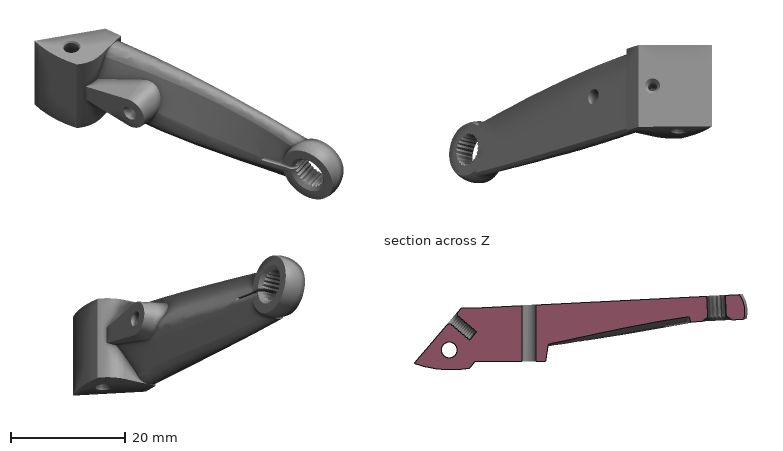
import cadquery as cq
import math

BLOCK_HEIGHT = 14.9
BLOCK_RIGHT = 11.7
BLOCK_BACK = 10.99
TIP = (0.0, 1.15)
SLANT_END = (8.4, BLOCK_BACK)
FRONT_ARC_MID = (5.2, 0.05)
FRONT_CORNER = (9.7, 0.25)
CORNER_ARC_MID = (11.15, 2.15)
CORNER_ARC_END = (BLOCK_RIGHT, 4.4)

PIN_X = 6.24
PIN_Y = 3.54
PIN_DIAMETER = 2.7
PIN_RIM_DIAMETER = 3.2

SCREW_ALONG_SLANT = 10.45
SCREW_MINOR_DIAMETER = 1.62
SCREW_MAJOR_DIAMETER = 2.0
SCREW_RIM_DIAMETER = 2.7
THREAD_PITCH = 0.4
THREAD_TURNS = 11

LEAN = 2.9
BACK_SLOPE = math.tan(math.radians(LEAN))
BOTTOM_BACK_RISE = 0.35

ARM_SECTIONS = [
    {
        "x": 10.5, "top": 14.8, "back_drop": 1.3, "bottom": 0.05,
        "upper_edge": (5.9, 13.5), "lower_edge": (7.0, 1.7),
        "ridge_y": 2.5, "ridge_top": 9.3, "ridge_bottom": 5.8, "ridge_depth": 0.8,
    },
    {
        "x": 24.0, "top": 13.5, "back_drop": 0.65, "bottom": -0.08,
        "upper_edge": (8.1, 12.6), "lower_edge": (7.5, 0.7),
        "ridge_y": 4.2, "ridge_top": 7.5, "ridge_bottom": 4.0, "ridge_depth": 0.55,
    },
    {
        "x": 37.0, "top": 11.7, "back_drop": 0.5, "bottom": -0.2,
        "upper_edge": (9.5, 10.9), "lower_edge": (9.0, 0.4),
        "ridge_y": 6.2, "ridge_top": 5.85, "ridge_bottom": 3.5, "ridge_depth": 0.35,
    },
    {
        "x": 51.0, "top": 9.3, "back_drop": 0.65, "bottom": -0.1,
        "upper_edge": (9.85, 8.15), "lower_edge": (10.5, 0.8),
        "ridge_y": 8.7, "ridge_top": 4.75, "ridge_bottom": 3.6, "ridge_depth": 0.15,
    },
]

RING_X = 53.26
RING_Z = 4.96
RING_WIDTH = 4.45
RING_FRONT_RADIUS = 5.2
RING_RADIUS = 5.43
RING_BACK_RADIUS = 4.7
SPLINE_COUNT = 24
SPLINE_TIP_RADIUS = 2.7
SPLINE_ROOT_RADIUS = 2.95
BORE_RIM_RADIUS = 3.47

SLOT_START_X = 44.1
SLOT_WIDTH = 0.55
SLOT_WEB = 1.0

BOSS_X = 20.27
BOSS_Y = 1.46
BOSS_Z = 7.92
BOSS_RADIUS = 3.05
BOSS_LENGTH = 6.0
BOSS_REACH = 10.5
BOSS_SIDE_ANGLE = 9.7
BOSS_DRAFT = 8.8
BOSS_HOLE_DIAMETER = 2.7

CLEARANCE = 1.0


def back_y(x):
    """Y of the leaning back plane at a given X."""
    return BLOCK_BACK + (x - BLOCK_RIGHT) * BACK_SLOPE


def make_block():
    return (
        cq.Workplane("XY")
        .moveTo(*TIP)
        .threePointArc(FRONT_ARC_MID, FRONT_CORNER)
        .threePointArc(CORNER_ARC_MID, CORNER_ARC_END)
        .lineTo(BLOCK_RIGHT, BLOCK_BACK)
        .lineTo(*SLANT_END)
        .close()
        .extrude(BLOCK_HEIGHT)
    )


def arm_section(
    x, top, back_drop, bottom, upper_edge, lower_edge, ridge_y, ridge_top, ridge_bottom, ridge_depth
):
    """Closed YZ section: flat back, rounded top and bottom, two flats meeting at a rounded ridge."""
    back = back_y(x)
    top_mid = ((back + upper_edge[0]) / 2, top)
    bottom_mid = ((back + lower_edge[0]) / 2, bottom)
    ridge_mid = (ridge_y, (ridge_top + ridge_bottom) / 2)
    ridge_edge = ridge_y + ridge_depth
    return (
        cq.Workplane("YZ", origin=(x, 0, 0))
        .moveTo(back, bottom + BOTTOM_BACK_RISE)
        .lineTo(back, top - back_drop)
        .threePointArc(top_mid, upper_edge)
        .lineTo(ridge_edge, ridge_top)
        .threePointArc(ridge_mid, (ridge_edge, ridge_bottom))
        .lineTo(*lower_edge)
        .threePointArc(bottom_mid, (back, bottom + BOTTOM_BACK_RISE))
        .close()
        .val()
    )


def make_arm():
    sections = [arm_section(**sizes) for sizes in ARM_SECTIONS]
    return cq.Workplane(cq.Solid.makeLoft(sections))


def make_boss():
    angle = math.radians(BOSS_SIDE_ANGLE)
    tangent_x = -BOSS_RADIUS * math.sin(angle)
    tangent_z = BOSS_RADIUS * math.cos(angle)
    end_half_width = BOSS_RADIUS / math.cos(angle) - BOSS_REACH * math.tan(angle)
    plane = cq.Plane(origin=(BOSS_X, BOSS_Y, BOSS_Z), xDir=(1, 0, 0), normal=(0, 1, 0))
    return (
        cq.Workplane(plane)
        .moveTo(-BOSS_REACH, -end_half_width)
        .lineTo(tangent_x, -tangent_z)
        .threePointArc((BOSS_RADIUS, 0), (tangent_x, tangent_z))
        .lineTo(-BOSS_REACH, end_half_width)
        .close()
        .extrude(BOSS_LENGTH, taper=-BOSS_DRAFT)
    )


def place_on_ring(shape):
    """Move a shape built around the Y axis, with its front at Y = 0, onto the leaning ring."""
    lean = math.radians(LEAN)
    half = RING_WIDTH / 2
    back_x = RING_X - half * math.sin(lean)
    front_x = RING_X + half * math.sin(lean)
    front_y = back_y(back_x) - RING_WIDTH * math.cos(lean)
    return shape.rotate((0, 0, 0), (0, 0, 1), LEAN).translate((front_x, front_y, RING_Z))


def make_ring():
    ring = (
        cq.Workplane("XY")
        .lineTo(RING_FRONT_RADIUS, 0)
        .threePointArc((RING_RADIUS, RING_WIDTH / 2), (RING_BACK_RADIUS, RING_WIDTH))
        .lineTo(0, RING_WIDTH)
        .close()
        .revolve(360, (0, 0, 0), (0, 1, 0))
    )
    return place_on_ring(ring)


def make_bore():
    points = []
    for step in range(2 * SPLINE_COUNT):
        radius = SPLINE_TIP_RADIUS if step % 2 else SPLINE_ROOT_RADIUS
        angle = math.pi * step / SPLINE_COUNT
        points.append((radius * math.cos(angle), radius * math.sin(angle)))
    spline = (
        cq.Workplane("XZ", origin=(0, -CLEARANCE, 0))
        .polyline(points)
        .close()
        .extrude(-(RING_WIDTH + 2 * CLEARANCE))
    )
    rim = (
        cq.Workplane("XY")
        .moveTo(0, -CLEARANCE)
        .lineTo(BORE_RIM_RADIUS, -CLEARANCE)
        .lineTo(BORE_RIM_RADIUS, 0)
        .lineTo(0, BORE_RIM_RADIUS)
        .close()
        .revolve(360, (0, 0, 0), (0, 1, 0))
    )
    return place_on_ring(spline.union(rim))


def make_slot():
    length = RING_X - SLOT_START_X
    depth = 2 * RING_WIDTH
    slot = cq.Workplane("XY").box(length, depth, SLOT_WIDTH, centered=(False, False, True))
    slot = slot.translate((-length, RING_WIDTH - SLOT_WEB - depth, 0))
    return place_on_ring(slot)


def make_pin_hole():
    rim_depth = (PIN_RIM_DIAMETER - PIN_DIAMETER) / 2
    hole = cq.Workplane("XY").center(PIN_X, PIN_Y).circle(PIN_DIAMETER / 2).extrude(BLOCK_HEIGHT)
    rim = cq.Solid.makeCone(
        PIN_DIAMETER / 2,
        PIN_RIM_DIAMETER / 2,
        rim_depth,
        pnt=cq.Vector(PIN_X, PIN_Y, BLOCK_HEIGHT - rim_depth),
    )
    return hole.union(cq.Workplane(rim))


def make_screw_hole():
    """Revolved blind hole with a 45 degree rim and V-shaped ring grooves as its thread."""
    minor = SCREW_MINOR_DIAMETER / 2
    major = SCREW_MAJOR_DIAMETER / 2
    rim = SCREW_RIM_DIAMETER / 2
    slant_x = SLANT_END[0] - TIP[0]
    slant_y = SLANT_END[1] - TIP[1]
    slant_length = math.hypot(slant_x, slant_y)
    along_x = slant_x / slant_length
    along_y = slant_y / slant_length
    mouth = (TIP[0] + SCREW_ALONG_SLANT * along_x, TIP[1] + SCREW_ALONG_SLANT * along_y, BLOCK_HEIGHT / 2)
    plane = cq.Plane(origin=mouth, xDir=(along_x, along_y, 0), normal=(0, 0, -1))
    depth = rim - major
    profile = cq.Workplane(plane).lineTo(rim, 0).lineTo(major, depth)
    for _ in range(THREAD_TURNS):
        profile = profile.lineTo(minor, depth + THREAD_PITCH / 2).lineTo(major, depth + THREAD_PITCH)
        depth += THREAD_PITCH
    return profile.lineTo(0, depth).close().revolve(360, (0, 0, 0), (0, 1, 0))


def make_boss_hole():
    length = back_y(BOSS_X) + CLEARANCE
    return (
        cq.Workplane("XZ", origin=(BOSS_X, 0, BOSS_Z))
        .circle(BOSS_HOLE_DIAMETER / 2)
        .extrude(-length)
    )


body = make_block().union(make_arm()).union(make_boss()).union(make_ring())
for tool in (make_bore(), make_slot(), make_pin_hole(), make_screw_hole(), make_boss_hole()):
    body = body.cut(tool)
result = body